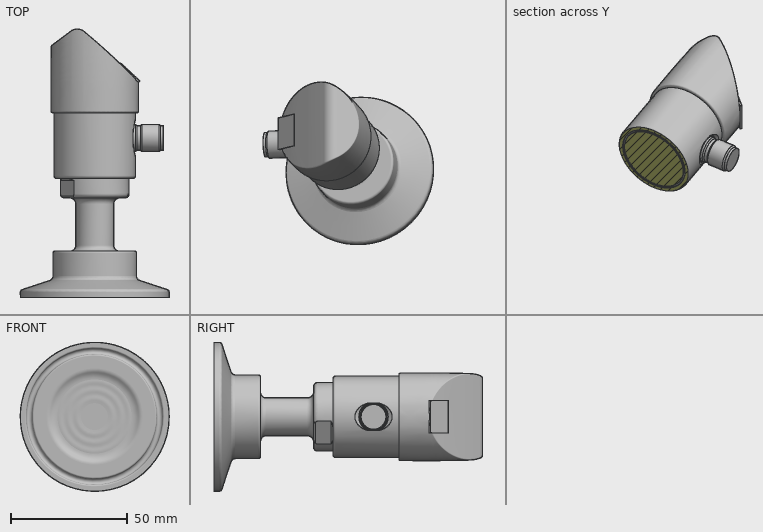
import cadquery as cq
import math


flange_diameter = 64.0
flange_radius = flange_diameter / 2
rim_corner_y = 3.2
rim_rounding = 1.4
cone_end_y = 7.8

hub_radius = 18.0
hub_top_y = 20.1
hub_foot_fillet = 1.8
hub_top_rounding = 1.0

neck_radius = 8.2
neck_lower_fillet = 2.3
neck_upper_fillet = 2.7

nut_radius = 14.8
nut_bottom_y = 42.8
nut_rounding = 1.7
flat_distance = 13.6
flat_angle = 150
flat_ramp = 0.8

housing_radius = 17.5
housing_bottom_y = 51.1
housing_rounding = 1.2
nut_gap = 0.7
nut_gap_depth = 0.9

cap_radius = 18.8
cap_top_radius = 18.5
cap_bulge = 0.2
cap_bottom_y = 79.4
cap_bottom_rounding = 0.7
total_length = 115.4
ridge_x = -7.5
ridge_radius = 4.6
rear_slope = 36.8
display_slope = 43.0
display_length = 32.3
display_bow = 0.5
display_edge_rounding = 0.5

pad_start = 20.4
pad_length = 11.3
pad_width = 13.8
pad_thickness = 0.9
pad_lift = 0.3

connector_y = 68.5
seat_x = 16.5
seat_radius = 6.3
seat_mouth_x = 17.9
seat_mouth_radius = 8.5
cuff_end_x = 17.5
collar_start_x = 20.3
collar_end_x = 27.6
connector_end_x = 29.4
connector_taper = 0.7
collar_radius = 5.9
connector_cuff_radius = 5.8
connector_neck_radius = 5.3

groove_inner_radius = 26.1
groove_outer_radius = 30.0
groove_lip = 0.7

dish_radius = 20.6
dish_bend_radius = 18.9
dish_wall_angle = 35
wave_outer_radius = 15.9
wave_width = 1.8
wave_count = 5
wave_height = 0.07
disc_radius = 5.8


def spin(profile):
    """Revolve an XY profile about the Y axis."""
    return profile.close().revolve(360, (0, 0, 0), (0, 1, 0))


def cylinder(radius, start_y, end_y):
    return cq.Workplane("XZ", origin=(0, start_y, 0)).circle(radius).extrude(start_y - end_y)


def round_edge(body, radius, y, fillet):
    """Fillet the circular edge of the given radius at station y."""
    tolerance = 0.01

    def matches(edge):
        same_radius = math.isclose(edge.radius(), radius, abs_tol=tolerance)
        same_station = math.isclose(edge.Center().y, y, abs_tol=tolerance)
        return same_radius and same_station

    return body.edges("%CIRCLE").filter(matches).fillet(fillet)


def make_stem():
    """Flange, hub, neck and nut as one turned body."""
    stem = spin(
        cq.Workplane("XY")
        .lineTo(flange_radius, 0)
        .lineTo(flange_radius, rim_corner_y)
        .lineTo(hub_radius, cone_end_y)
        .lineTo(hub_radius, hub_top_y)
        .lineTo(neck_radius, hub_top_y)
        .lineTo(neck_radius, nut_bottom_y)
        .lineTo(nut_radius, nut_bottom_y)
        .lineTo(nut_radius, housing_bottom_y + nut_gap_depth)
        .lineTo(0, housing_bottom_y + nut_gap_depth)
    )
    stem = round_edge(stem, flange_radius, rim_corner_y, rim_rounding)
    stem = round_edge(stem, hub_radius, cone_end_y, hub_foot_fillet)
    stem = round_edge(stem, hub_radius, hub_top_y, hub_top_rounding)
    stem = round_edge(stem, neck_radius, hub_top_y, neck_lower_fillet)
    stem = round_edge(stem, neck_radius, nut_bottom_y, neck_upper_fillet)
    return round_edge(stem, nut_radius, nut_bottom_y, nut_rounding)


def make_wrench_flat(angle):
    """Cutter for one nut flat, ramped outward at the top and inward at the bottom."""
    outside = 2 * nut_radius
    cutter = (
        cq.Workplane("XY")
        .moveTo(outside, nut_bottom_y)
        .lineTo(flat_distance - flat_ramp, nut_bottom_y)
        .lineTo(flat_distance, nut_bottom_y + flat_ramp)
        .lineTo(flat_distance, housing_bottom_y - flat_ramp)
        .lineTo(flat_distance + flat_ramp, housing_bottom_y)
        .lineTo(outside, housing_bottom_y)
        .close()
        .extrude(nut_radius, both=True)
    )
    return cutter.rotate((0, 0, 0), (0, 1, 0), -angle)


def make_housing():
    """Housing barrel with a gap around the nut and a conical seat for the connector."""
    housing = cylinder(housing_radius, housing_bottom_y, cap_bottom_y)
    housing = round_edge(housing, housing_radius, housing_bottom_y, housing_rounding)
    gap = cylinder(nut_radius + nut_gap, housing_bottom_y, housing_bottom_y + nut_gap_depth)
    seat = (
        cq.Workplane("YZ", origin=(seat_x, connector_y, 0))
        .circle(seat_radius)
        .workplane(offset=seat_mouth_x - seat_x)
        .circle(seat_mouth_radius)
        .loft()
    )
    return housing.cut(gap).cut(seat)


def slope_point(side, angle, distance, lift=0):
    """XY point above a roof slope, a distance down from the ridge arc's end; side is -1 or +1."""
    turn = math.radians(angle)
    x = ridge_radius * math.sin(turn) + distance * math.cos(turn) + lift * math.sin(turn)
    y = ridge_radius * (math.cos(turn) - 1) - distance * math.sin(turn) + lift * math.cos(turn)
    return ridge_x + side * x, total_length + y


def make_cap():
    """Slightly bulged cap cut to a rounded ridge, with a pad on the display slope."""
    bulge_radius = (cap_radius + cap_top_radius) / 2 + cap_bulge
    cap = spin(
        cq.Workplane("XY")
        .moveTo(0, cap_bottom_y)
        .lineTo(cap_radius, cap_bottom_y)
        .threePointArc((bulge_radius, (cap_bottom_y + total_length) / 2), (cap_top_radius, total_length))
        .lineTo(0, total_length)
    )
    cap = round_edge(cap, cap_radius, cap_bottom_y, cap_bottom_rounding)
    reach = 2 * cap_radius
    rear_end = slope_point(-1, rear_slope, reach)
    display_end = slope_point(1, display_slope, display_length)
    display_middle = slope_point(1, display_slope, display_length / 2, display_bow)
    roof = (
        cq.Workplane("XY")
        .moveTo(*rear_end)
        .lineTo(*slope_point(-1, rear_slope, 0))
        .threePointArc((ridge_x, total_length), slope_point(1, display_slope, 0))
        .threePointArc(display_middle, display_end)
        .lineTo(display_end[0], 0)
        .lineTo(rear_end[0], 0)
        .close()
        .extrude(reach, both=True)
    )
    pad_x, pad_y = slope_point(1, display_slope, pad_start + pad_length / 2, pad_lift)
    pad = (
        cq.Workplane("XY")
        .box(pad_length, pad_thickness, pad_width)
        .rotate((0, 0, 0), (0, 0, 1), -display_slope)
        .translate((pad_x, pad_y, 0))
    )
    cap = cap.intersect(roof)
    display_face = cap.faces(cq.selectors.NearestToPointSelector((*display_middle, 0)))
    return display_face.edges().fillet(display_edge_rounding).union(pad)


def make_connector():
    """Stepped round connector turned about its own X-directed axis."""
    profile = (
        cq.Workplane("XY")
        .lineTo(0, connector_cuff_radius)
        .lineTo(cuff_end_x, connector_cuff_radius)
        .lineTo(cuff_end_x + connector_taper, connector_neck_radius)
        .lineTo(collar_start_x - connector_taper, connector_neck_radius)
        .lineTo(collar_start_x, collar_radius)
        .lineTo(collar_end_x, collar_radius)
        .lineTo(collar_end_x + connector_taper, connector_neck_radius)
        .lineTo(connector_end_x, connector_neck_radius)
        .lineTo(connector_end_x, 0)
        .close()
    )
    return profile.revolve(360, (0, 0, 0), (1, 0, 0)).translate((0, connector_y, 0))


def make_seal_groove():
    """Ring cutter: a half-round groove with rounded lips on both sides."""
    inner_wall = groove_inner_radius + groove_lip
    outer_wall = groove_outer_radius - groove_lip
    bottom_radius = (outer_wall - inner_wall) / 2
    lip_middle = groove_lip * math.sqrt(0.5)
    lip_middle_depth = groove_lip - lip_middle
    return spin(
        cq.Workplane("XY")
        .moveTo(groove_inner_radius, 0)
        .threePointArc((groove_inner_radius + lip_middle, lip_middle_depth), (inner_wall, groove_lip))
        .threePointArc((inner_wall + bottom_radius, groove_lip + bottom_radius), (outer_wall, groove_lip))
        .threePointArc((groove_outer_radius - lip_middle, lip_middle_depth), (groove_outer_radius, 0))
    )


def make_diaphragm_dish():
    """Cutter with an S-shaped wall, concentric waves and a flat centre disc."""
    wall = math.radians(dish_wall_angle)
    lip_width = dish_radius - dish_bend_radius
    root_width = dish_bend_radius - wave_outer_radius
    lip_arc = lip_width / math.sin(wall)
    root_arc = root_width / math.sin(wall)
    lip_depth = lip_arc * (1 - math.cos(wall))
    floor_depth = lip_depth + root_arc * (1 - math.cos(wall))
    half_sine = math.sin(wall / 2)
    half_rise = 1 - math.cos(wall / 2)

    profile = (
        cq.Workplane("XY")
        .lineTo(dish_radius, 0)
        .threePointArc(
            (dish_radius - lip_arc * half_sine, lip_arc * half_rise),
            (dish_bend_radius, lip_depth),
        )
        .threePointArc(
            (wave_outer_radius + root_arc * half_sine, floor_depth - root_arc * half_rise),
            (wave_outer_radius, floor_depth),
        )
    )
    for index in range(wave_count):
        start_radius = wave_outer_radius - index * wave_width
        crest_depth = floor_depth - wave_height * (-1) ** index
        profile = profile.threePointArc(
            (start_radius - wave_width / 2, crest_depth),
            (start_radius - wave_width, floor_depth),
        )
    disc_depth = floor_depth + wave_height
    return spin(profile.lineTo(disc_radius, disc_depth).lineTo(0, disc_depth))


stem = make_stem()
for angle in (flat_angle, flat_angle + 180):
    stem = stem.cut(make_wrench_flat(angle))
stem = stem.cut(make_seal_groove()).cut(make_diaphragm_dish())

result = stem.union(make_housing()).union(make_cap()).union(make_connector())